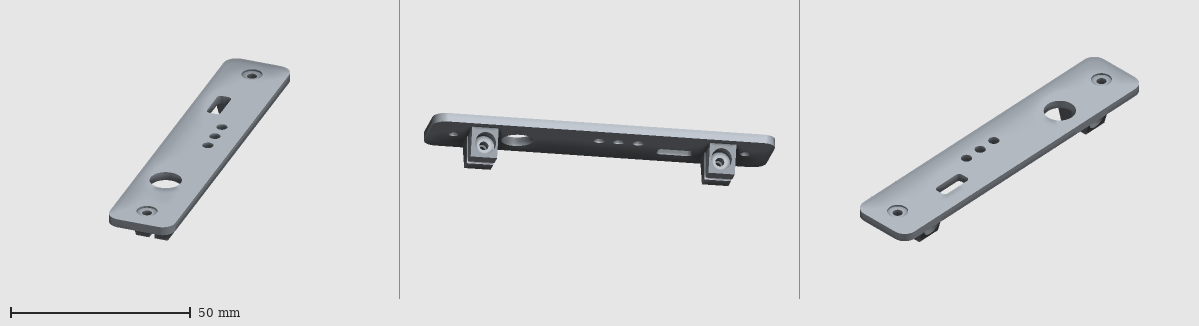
import cadquery as cq

plate_width = 19.5
plate_length = 97.03
plate_thickness = 2.54
corner_radius = 3.81
overall_height = 10.54

head_diameter = 5.84
plate_screw_diameter = 2.79
plate_screw_y = 41.27
plate_head_depth = 0.55

window_width = 4.1
window_length = 10.1
window_radius = 1.1
window_x = -2.5
window_y = 21.9

small_hole_diameter = 3.12
small_hole_pitch = 5.52
small_hole_x = 2.67
small_row_centre_y = 5.0

large_hole_diameter = 9.0
large_hole_x = -1.32
large_hole_y = -23.05

lug_length = 7.5
lug_y = 33.7
lug_root_width = 14.1
lug_tip_width = 9.4
lug_gap = 1.52
lug_screw_diameter = 2.54
lug_screw_y = 33.44
lug_screw_z = -6.66
lug_head_seat_x = 3.4

plate_bottom_z = -plate_thickness
lug_tip_z = -overall_height


def make_plate():
    blank = cq.Workplane("XY").box(plate_width, plate_length, plate_thickness, centered=(True, True, False))
    return blank.edges("|Z").fillet(corner_radius).translate((0, 0, plate_bottom_z))


def make_lug_half(side):
    """Half of a lug lying on the +X (side = 1) or -X (side = -1) side, centred on Y = 0."""
    inner_x = side * lug_gap / 2
    outline = [
        (inner_x, plate_bottom_z),
        (side * lug_root_width / 2, plate_bottom_z),
        (side * lug_tip_width / 2, lug_tip_z),
        (inner_x, lug_tip_z),
    ]
    return cq.Workplane("XZ").polyline(outline).close().extrude(lug_length / 2, both=True)


def cylinder_along_x(diameter, start_x, end_x, y, z):
    start_plane = cq.Workplane("YZ", origin=(start_x, y, z))
    return start_plane.circle(diameter / 2).extrude(end_x - start_x)


def make_lug(end):
    """Lug near the +Y (end = 1) or -Y (end = -1) end, drilled across and counterbored on both flanks."""
    lug = make_lug_half(1).union(make_lug_half(-1)).translate((0, end * lug_y, 0))
    reach = plate_width / 2
    screw_y = end * lug_screw_y
    lug = lug.cut(cylinder_along_x(lug_screw_diameter, -reach, reach, screw_y, lug_screw_z))
    for side in (1, -1):
        seat_x = side * lug_head_seat_x
        lug = lug.cut(cylinder_along_x(head_diameter, seat_x, side * reach, screw_y, lug_screw_z))
    return lug


def cut_mounting_holes(plate):
    centres = [(0, plate_screw_y), (0, -plate_screw_y)]
    top = cq.Workplane("XY").pushPoints(centres)
    holes = top.circle(plate_screw_diameter / 2).extrude(-plate_thickness)
    head_pockets = top.circle(head_diameter / 2).extrude(-plate_head_depth)
    return plate.cut(holes).cut(head_pockets)


def cut_window(plate):
    window = cq.Workplane("XY").center(window_x, window_y).rect(window_width, window_length)
    window = window.extrude(-plate_thickness).edges("|Z").fillet(window_radius)
    return plate.cut(window)


def cut_round_holes(plate):
    row = [(small_hole_x, small_row_centre_y + step * small_hole_pitch) for step in (-1, 0, 1)]
    small_holes = cq.Workplane("XY").pushPoints(row).circle(small_hole_diameter / 2).extrude(-plate_thickness)
    large_hole = cq.Workplane("XY").center(large_hole_x, large_hole_y).circle(large_hole_diameter / 2)
    return plate.cut(small_holes).cut(large_hole.extrude(-plate_thickness))


result = cut_round_holes(cut_window(cut_mounting_holes(make_plate())))
for end in (1, -1):
    result = result.union(make_lug(end))